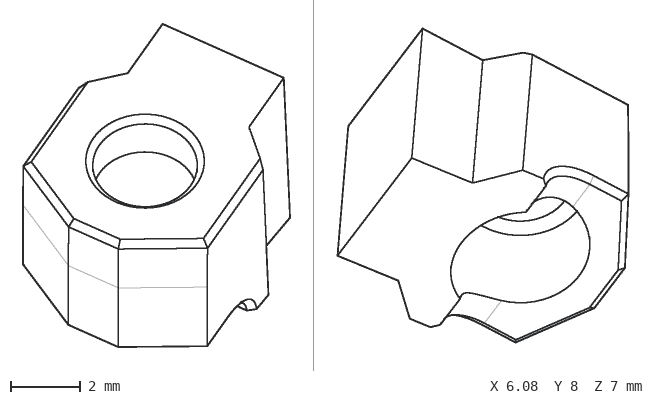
import cadquery as cq
import math

WIDTH = 6.08
LENGTH = 8.0
HEIGHT = 7.0
FRONT_Y = -3.04
REAR_Y = FRONT_Y + LENGTH
HALF_WIDTH = WIDTH / 2
EDGE_CHAMFER = 0.2

FRONT_HALF_WIDTH = 0.82
OBLIQUE_ANGLE = 30.0
DRAFT_START_Z = -2.0
DRAFT_ANGLE = 0.5

REAR_LEAN = 3.0
TONGUE_HALF_WIDTH = 2.0
SHOULDER_Y = 2.54

NOSE_BOTTOM_Z = -5.0
ARC_RADIUS = 1.5
ARC_CENTER_Y = -0.56
FOOT_ANGLE = 10.0

HOLE_RADIUS = 1.5
BORE_RADIUS = 2.0
BORE_TOP_Z = -1.52

MARGIN = 1.6


def nose_outline(inset):
    """Plan outline with the three nose faces moved inwards by inset."""
    slope = math.radians(OBLIQUE_ANGLE)
    side_y = FRONT_Y + (HALF_WIDTH - FRONT_HALF_WIDTH) * math.tan(slope) + inset / math.cos(slope)
    front_y = FRONT_Y + inset
    front_x = HALF_WIDTH - (side_y - front_y) / math.tan(slope)
    back_y = REAR_Y + MARGIN
    return [
        (-HALF_WIDTH, back_y),
        (-HALF_WIDTH, side_y),
        (-front_x, front_y),
        (front_x, front_y),
        (HALF_WIDTH, side_y),
        (HALF_WIDTH, back_y),
    ]


def ruled_prism(lower_outline, lower_z, upper_outline, upper_z):
    """Flat-sided solid joining two outlines at different heights."""
    wires = [
        cq.Wire.makePolygon([cq.Vector(x, y, z) for x, y in outline], close=True)
        for outline, z in ((lower_outline, lower_z), (upper_outline, upper_z))
    ]
    return cq.Workplane(obj=cq.Solid.makeLoft(wires, True))


def make_block():
    """Nose block with drafted upper faces and a chamfered top rim."""
    draft_inset = -DRAFT_START_Z * math.tan(math.radians(DRAFT_ANGLE))
    straight = nose_outline(0)
    lower = ruled_prism(straight, -HEIGHT - MARGIN, straight, DRAFT_START_Z)
    upper = ruled_prism(straight, DRAFT_START_Z, nose_outline(draft_inset), 0)
    block = lower.union(upper)
    return block.faces(">Z").edges("not >Y").chamfer(EDGE_CHAMFER)


def make_side_profile():
    """Side outline with leaning rear, sloped foot and arc, extruded across the width."""
    rear_top_y = REAR_Y - HEIGHT * math.tan(math.radians(REAR_LEAN))
    foot_slope = math.radians(FOOT_ANGLE)
    arc_center_z = NOSE_BOTTOM_Z - ARC_RADIUS

    foot_z_at_center = -HEIGHT + (REAR_Y - ARC_CENTER_Y) * math.tan(foot_slope)
    center_to_foot = (foot_z_at_center - arc_center_z) * math.cos(foot_slope)
    arc_end_angle = math.asin(center_to_foot / ARC_RADIUS) - foot_slope
    arc_mid_angle = (arc_end_angle + math.pi / 2) / 2

    def arc_point(angle):
        return (ARC_CENTER_Y + ARC_RADIUS * math.cos(angle), arc_center_z + ARC_RADIUS * math.sin(angle))

    return (
        cq.Workplane("YZ")
        .moveTo(FRONT_Y - MARGIN, 0)
        .lineTo(rear_top_y, 0)
        .lineTo(REAR_Y, -HEIGHT)
        .lineTo(*arc_point(arc_end_angle))
        .threePointArc(arc_point(arc_mid_angle), (ARC_CENTER_Y, NOSE_BOTTOM_Z))
        .lineTo(FRONT_Y - MARGIN, NOSE_BOTTOM_Z)
        .close()
        .extrude(HALF_WIDTH + MARGIN, both=True)
    )


def chamfer_underside(body):
    """Chamfer the outer rim of the flat nose underside and of the concave arc."""
    underside = body.faces(cq.selectors.NearestToPointSelector((0, FRONT_Y / 2, NOSE_BOTTOM_Z)))
    nose_rim = underside.edges("not >Y")
    arc_rim = body.edges("%CIRCLE")
    return nose_rim.add(arc_rim).chamfer(EDGE_CHAMFER)


def make_shoulder_cut(side):
    """Leaning corner removed beside the tongue; side is -1 or 1."""
    outer_x = HALF_WIDTH + MARGIN
    back_y = REAR_Y + MARGIN

    def outline(z):
        y = SHOULDER_Y - z * math.tan(math.radians(REAR_LEAN))
        return [
            (side * TONGUE_HALF_WIDTH, y),
            (side * outer_x, y - (outer_x - TONGUE_HALF_WIDTH)),
            (side * outer_x, back_y),
            (side * TONGUE_HALF_WIDTH, back_y),
        ]

    low_z = -HEIGHT - MARGIN
    return ruled_prism(outline(low_z), low_z, outline(MARGIN), MARGIN)


def cut_bolt_hole(body):
    """Chamfered through hole with a larger bore opening to the underside."""
    hole = cq.Workplane().circle(HOLE_RADIUS).extrude(-HEIGHT)
    bore = cq.Workplane().workplane(offset=BORE_TOP_Z).circle(BORE_RADIUS).extrude(-HEIGHT)
    rim_radius = HOLE_RADIUS + EDGE_CHAMFER
    downwards = cq.Vector(0, 0, -1)
    rim = cq.Workplane(obj=cq.Solid.makeCone(rim_radius, HOLE_RADIUS, EDGE_CHAMFER, dir=downwards))
    return body.cut(hole).cut(bore).cut(rim)


body = make_block().intersect(make_side_profile())
body = chamfer_underside(body)
for side in (-1, 1):
    body = body.cut(make_shoulder_cut(side))
result = cut_bolt_hole(body)